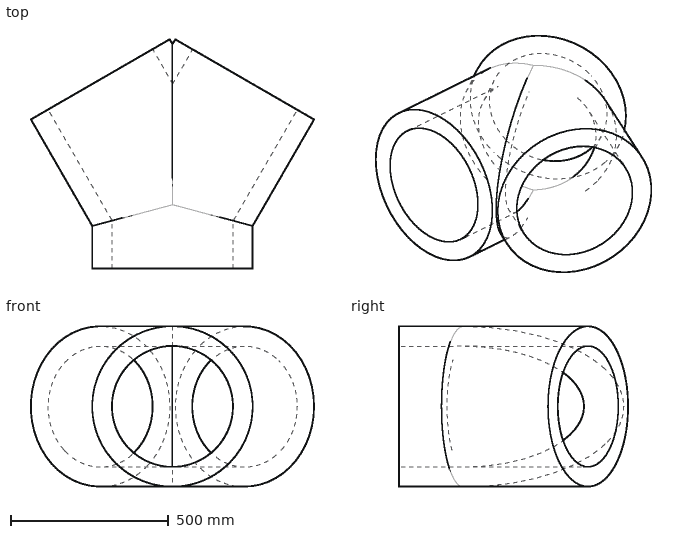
import cadquery as cq
import math

outer_diameter = 508.0
bore_diameter = 382.57

inlet_length = 203.2
branch_length = 457.2

branch_tilt = 30.0
right_angle = 90.0 - branch_tilt
left_angle = 90.0 + branch_tilt
inlet_angle = 270.0

inlet_right_mitre = (inlet_angle - 360.0 + right_angle) / 2
branch_mitre = (right_angle + left_angle) / 2
left_inlet_mitre = (left_angle + inlet_angle) / 2

arms = [
    (right_angle, branch_length, inlet_right_mitre, branch_mitre),
    (left_angle, branch_length, branch_mitre, left_inlet_mitre),
    (inlet_angle, inlet_length, left_inlet_mitre, inlet_right_mitre + 360.0),
]

wedge_reach = 2 * (branch_length + outer_diameter)


def polar_point(radius, angle):
    """Point in the XY plane at a radius and an angle in degrees."""
    return (radius * math.cos(math.radians(angle)), radius * math.sin(math.radians(angle)))


def mitre_wedge(start_angle, end_angle):
    """Tall wedge between two mitre planes, with its edge on the Z axis."""
    middle_angle = (start_angle + end_angle) / 2
    corners = [polar_point(wedge_reach, a) for a in (start_angle, middle_angle, end_angle)]
    return (
        cq.Workplane("XY")
        .polyline([(0, 0)] + corners)
        .close()
        .extrude(outer_diameter, both=True)
    )


def mitred_arm(diameter, angle, length, start_mitre, end_mitre):
    """Cylinder along one arm, cut back to the mitre planes of its neighbours."""
    back_overrun = diameter
    direction = polar_point(1, angle)
    start = polar_point(-back_overrun, angle)
    cylinder = cq.Solid.makeCylinder(
        diameter / 2,
        length + back_overrun,
        cq.Vector(*start, 0),
        cq.Vector(*direction, 0),
    )
    return mitre_wedge(start_mitre, end_mitre).intersect(cq.Workplane(cylinder))


def wye(diameter):
    """Three mitred cylinders of one diameter joined into a Y."""
    body = cq.Workplane("XY")
    for angle, length, start_mitre, end_mitre in arms:
        body = body.union(mitred_arm(diameter, angle, length, start_mitre, end_mitre))
    return body


result = wye(outer_diameter).cut(wye(bore_diameter))